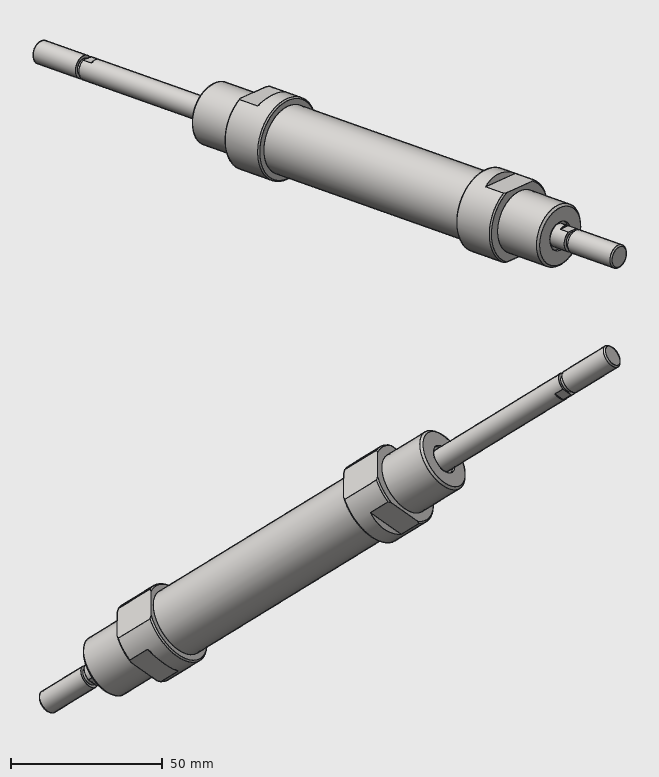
import cadquery as cq


BARREL_RADIUS = 12.0
BARREL_LENGTH = 86.7

COLLAR_RADIUS = 14.5
COLLAR_LENGTH = 15.3
COLLAR_CHAMFER = 0.5
SIDE_FLAT_Y = 13.0
WRENCH_FLAT_Z = 12.5
WRENCH_FLAT_LENGTH = 8.5
WRENCH_FLAT_WALL_RUN = 0.8
BOSS_RADIUS = 11.0
BOSS_LENGTH = 17.8
BOSS_CHAMFER = 0.8
ROD_RECESS_RADIUS = 5.0
ROD_RECESS_DEPTH = 1.0

ROD_RADIUS = 4.0
TIP_CHAMFER = 0.5
THREAD_LENGTH = 19.0
RELIEF_RADIUS = 3.0
RELIEF_LENGTH = 1.5
ROD_FLAT_Z = 3.5
ROD_FLAT_LENGTH = 3.5
OVERALL_LENGTH = 255.0
LEFT_ROD_REACH = 152.5
RIGHT_ROD_REACH = OVERALL_LENGTH - LEFT_ROD_REACH

COLLAR_START = BARREL_LENGTH / 2
BOSS_START = COLLAR_START + COLLAR_LENGTH
BOSS_END = BOSS_START + BOSS_LENGTH


def cylinder(start, length, radius):
    """Solid cylinder on the X axis, running from start toward +X."""
    return cq.Workplane("YZ", origin=(start, 0, 0)).circle(radius).extrude(length)


def cut_flats(body, inner_end, outer_end, flat_z, radius, wall_run=0.0):
    """Cut a pair of flats at +Z and -Z; the inner end wall leans back by wall_run at the round surface."""
    profile = [
        (inner_end, flat_z),
        (outer_end, flat_z),
        (outer_end, radius),
        (inner_end - wall_run, radius),
    ]
    upper_cutter = cq.Workplane("XZ").polyline(profile).close().extrude(radius, both=True)
    return body.cut(upper_cutter).cut(upper_cutter.mirror("XY"))


def make_barrel():
    return cylinder(-BARREL_LENGTH / 2, BARREL_LENGTH, BARREL_RADIUS)


def make_head():
    """Head on the +X end of the barrel, bored for its rod."""
    collar = cylinder(COLLAR_START, COLLAR_LENGTH, COLLAR_RADIUS).edges().chamfer(COLLAR_CHAMFER)
    flat_start = BOSS_START - WRENCH_FLAT_LENGTH
    collar = cut_flats(collar, flat_start, BOSS_START, WRENCH_FLAT_Z, COLLAR_RADIUS, WRENCH_FLAT_WALL_RUN)
    side_cutter = cq.Workplane("XY").box(
        COLLAR_LENGTH, COLLAR_RADIUS, 2 * COLLAR_RADIUS, centered=(False, False, True)
    )
    collar = collar.cut(side_cutter.translate((COLLAR_START, SIDE_FLAT_Y, 0)))

    boss = cylinder(BOSS_START, BOSS_LENGTH, BOSS_RADIUS).faces(">X").edges().chamfer(BOSS_CHAMFER)
    rod_bore = cylinder(COLLAR_START, BOSS_END - COLLAR_START, ROD_RADIUS)
    recess = cylinder(BOSS_END - ROD_RECESS_DEPTH, ROD_RECESS_DEPTH, ROD_RECESS_RADIUS)
    return collar.union(boss).cut(rod_bore).cut(recess)


def make_rod(reach):
    """Rod pointing toward +X, from the end of the barrel to its threaded tip."""
    rod = cylinder(COLLAR_START, reach - COLLAR_START, ROD_RADIUS).faces(">X").edges().chamfer(TIP_CHAMFER)
    relief_start = reach - THREAD_LENGTH - RELIEF_LENGTH
    relief = cylinder(relief_start, RELIEF_LENGTH, ROD_RADIUS).cut(
        cylinder(relief_start, RELIEF_LENGTH, RELIEF_RADIUS)
    )
    rod = rod.cut(relief)
    return cut_flats(rod, relief_start - ROD_FLAT_LENGTH, relief_start, ROD_FLAT_Z, ROD_RADIUS)


bodies = [make_barrel().val()]
for pointing_left, rod_reach in ((True, LEFT_ROD_REACH), (False, RIGHT_ROD_REACH)):
    for body in (make_head(), make_rod(rod_reach)):
        placed = body.mirror("YZ") if pointing_left else body
        bodies.append(placed.val())

result = cq.Compound.makeCompound(bodies)